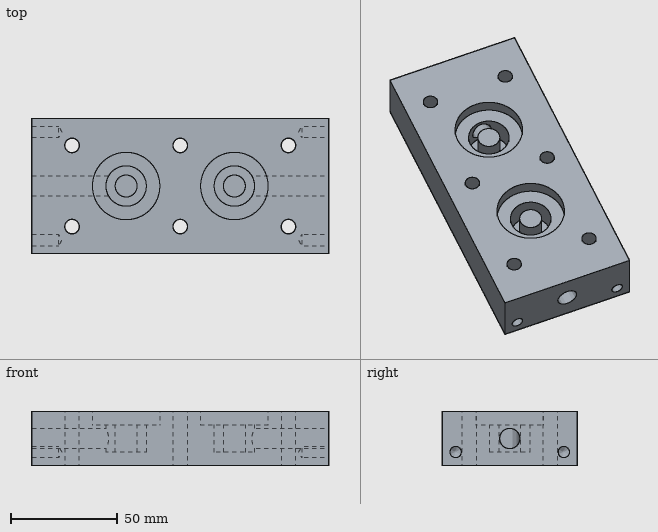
import cadquery as cq

length = 139.7
width = 63.5
height = 25.4

bolt_diameter = 6.7
bolt_pitch_x = 50.9
bolt_pitch_y = 38.1

pocket_pitch = bolt_pitch_x
pocket_diameter = 31.7
pocket_depth = 6.3
groove_diameter = 19.0
post_diameter = 10.3

port_diameter = 9.5
port_height = height / 2
groove_floor_margin = 1.5
groove_depth = height - pocket_depth - (port_height - port_diameter / 2 - groove_floor_margin)

end_hole_diameter = 5.3
end_hole_pitch = 50.9
end_hole_height = height / 4
end_hole_depth = 12.7
drill_point_length = 1.5


def bolt_holes():
    return (
        cq.Workplane("XY")
        .rarray(bolt_pitch_x, bolt_pitch_y, 3, 2)
        .circle(bolt_diameter / 2)
        .extrude(height)
    )


def pocket(x):
    floor = height - pocket_depth
    recess = (
        cq.Workplane("XY", origin=(x, 0, floor))
        .circle(pocket_diameter / 2)
        .extrude(pocket_depth)
    )
    groove = (
        cq.Workplane("XY", origin=(x, 0, floor))
        .circle(groove_diameter / 2)
        .circle(post_diameter / 2)
        .extrude(-groove_depth)
    )
    return recess.union(groove)


def port(side):
    """Bore ending inside the groove, just clear of the post; side is -1 or 1."""
    groove_middle = (groove_diameter + post_diameter) / 4
    bore_length = length / 2 - pocket_pitch / 2 - groove_middle
    bore = (
        cq.Workplane("YZ", origin=(side * length / 2, 0, port_height))
        .circle(port_diameter / 2)
        .extrude(-side * bore_length)
    )
    return bore


def end_hole(side, y):
    """Drilled hole with a conical bottom, made by revolving its half section."""
    face_x = side * length / 2
    radius = end_hole_diameter / 2
    shoulder_x = face_x - side * end_hole_depth
    tip_x = shoulder_x - side * drill_point_length
    return (
        cq.Workplane("XY", origin=(0, y, end_hole_height))
        .polyline([(face_x, 0), (face_x, radius), (shoulder_x, radius), (tip_x, 0)])
        .close()
        .revolve(360, (0, 0), (1, 0))
    )


result = cq.Workplane("XY").box(length, width, height, centered=(True, True, False))
result = result.cut(bolt_holes())
for side in (-1, 1):
    result = result.cut(pocket(side * pocket_pitch / 2))
    result = result.cut(port(side))
    for y in (-end_hole_pitch / 2, end_hole_pitch / 2):
        result = result.cut(end_hole(side, y))